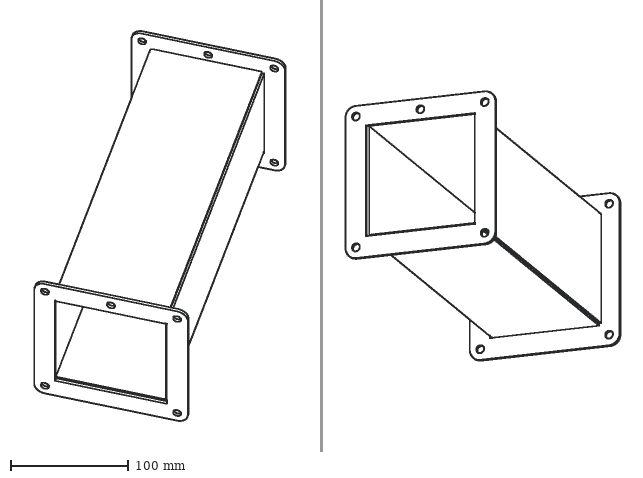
import cadquery as cq

LENGTH = 308.0
FLANGE_SIZE = 136.5
FLANGE_THICKNESS = 3.0

CORNER_RADIUS = 9.5
HOLE_DIAMETER = 7.0
HOLE_OFFSET = FLANGE_SIZE / 2 - CORNER_RADIUS
OPENING = 99.5

SHEET = 2.0
INNER_BEND = 1.0
OUTER_BEND = INNER_BEND + SHEET
DUCT_LENGTH = LENGTH - 2 * FLANGE_THICKNESS
LEG = OPENING
UPPER_CORNER = OPENING / 2 + SHEET
LOWER_CORNER = OPENING / 2


def make_flange(front_y):
    """Square flange whose front face lies at front_y."""
    hole_centres = [
        (-HOLE_OFFSET, HOLE_OFFSET),
        (0, HOLE_OFFSET),
        (HOLE_OFFSET, HOLE_OFFSET),
        (-HOLE_OFFSET, -HOLE_OFFSET),
        (HOLE_OFFSET, -HOLE_OFFSET),
    ]
    plate = (
        cq.Workplane("XZ", origin=(0, front_y, 0))
        .rect(FLANGE_SIZE, FLANGE_SIZE)
        .extrude(-FLANGE_THICKNESS)
        .edges("|Y")
        .fillet(CORNER_RADIUS)
    )
    opening = (
        cq.Workplane("XZ", origin=(0, front_y, 0))
        .rect(OPENING, OPENING)
        .extrude(-FLANGE_THICKNESS)
    )
    holes = (
        cq.Workplane("XZ", origin=(0, front_y, 0))
        .pushPoints(hole_centres)
        .circle(HOLE_DIAMETER / 2)
        .extrude(-FLANGE_THICKNESS)
    )
    return plate.cut(opening).cut(holes)


def make_angle_sheet(corner_x, corner_z, side):
    """Bent sheet with its outer corner at (corner_x, corner_z).

    A side of 1 runs the legs toward +X and -Z, a side of -1 toward -X and +Z.
    """
    inner_x = corner_x + side * SHEET
    inner_z = corner_z - side * SHEET
    end_x = corner_x + side * LEG
    end_z = corner_z - side * LEG
    section = [
        (corner_x, corner_z),
        (end_x, corner_z),
        (end_x, inner_z),
        (inner_x, inner_z),
        (inner_x, end_z),
        (corner_x, end_z),
    ]
    outer_corner = cq.NearestToPointSelector((corner_x, 0, corner_z))
    inner_corner = cq.NearestToPointSelector((inner_x, 0, inner_z))
    return (
        cq.Workplane("XZ", origin=(0, -DUCT_LENGTH / 2, 0))
        .polyline(section)
        .close()
        .extrude(-DUCT_LENGTH)
        .edges("|Y")
        .edges(inner_corner)
        .fillet(INNER_BEND)
        .edges("|Y")
        .edges(outer_corner)
        .fillet(OUTER_BEND)
    )


upper_sheet = make_angle_sheet(-UPPER_CORNER, UPPER_CORNER, 1)
lower_sheet = make_angle_sheet(LOWER_CORNER, -LOWER_CORNER, -1)

flanges = [make_flange(y) for y in (-LENGTH / 2, LENGTH / 2 - FLANGE_THICKNESS)]

result = cq.Compound.makeCompound(
    [upper_sheet.val(), lower_sheet.val(), *[flange.val() for flange in flanges]]
)